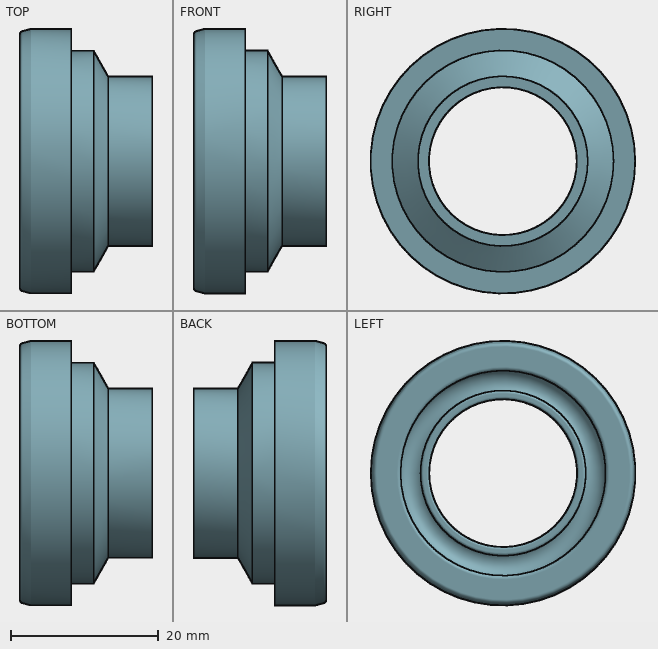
import cadquery as cq
import math

flange_end = 7.0
shoulder_end = 10.0
cone_end = 12.0
length = 18.0
lip_face = 2.5
groove_floor = 3.23

flange_radius = 35.9 / 2
shoulder_radius = 30.0 / 2
sleeve_radius = 23.0 / 2
bore_radius = 20.0 / 2
groove_outer_radius = 13.9
groove_inner_radius = 11.2
groove_floor_radius = 12.4

taper_length = 1.5
taper_angle = 15
rim_fillet = 0.5
mouth_round = 0.5
lip_round = 0.4

face_radius = flange_radius - taper_length * math.tan(math.radians(taper_angle))
arc_inset = 1 - math.sqrt(0.5)


def revolve_profile(profile):
    """Turn a closed profile drawn as (axial position, radius) about the X axis."""
    return profile.close().revolve(360, (0, 0, 0), (1, 0, 0))


def make_body():
    """Flange with a tapered rim, shoulder, cone and sleeve, bored through."""
    return revolve_profile(
        cq.Workplane("XY")
        .moveTo(0, bore_radius)
        .lineTo(0, face_radius)
        .lineTo(taper_length, flange_radius)
        .lineTo(flange_end, flange_radius)
        .lineTo(flange_end, shoulder_radius)
        .lineTo(shoulder_end, shoulder_radius)
        .lineTo(cone_end, sleeve_radius)
        .lineTo(length, sleeve_radius)
        .lineTo(length, bore_radius)
    )


def make_recess():
    """Face recess: a rounded groove outside a set-back lip, with every edge rounded over."""
    return revolve_profile(
        cq.Workplane("XY")
        .moveTo(0, bore_radius)
        .lineTo(0, groove_outer_radius + mouth_round)
        .threePointArc(
            (mouth_round * arc_inset, groove_outer_radius + mouth_round * arc_inset),
            (mouth_round, groove_outer_radius),
        )
        .threePointArc(
            (groove_floor, groove_floor_radius),
            (lip_face + lip_round, groove_inner_radius),
        )
        .threePointArc(
            (lip_face + lip_round * arc_inset, groove_inner_radius - lip_round * arc_inset),
            (lip_face, groove_inner_radius - lip_round),
        )
        .lineTo(lip_face, bore_radius + lip_round)
        .threePointArc(
            (lip_face + lip_round * arc_inset, bore_radius + lip_round * arc_inset),
            (lip_face + lip_round, bore_radius),
        )
    )


outermost = cq.selectors.RadiusNthSelector(-1)
rounded_body = make_body().faces("<X").edges(outermost).fillet(rim_fillet)
result = rounded_body.cut(make_recess())